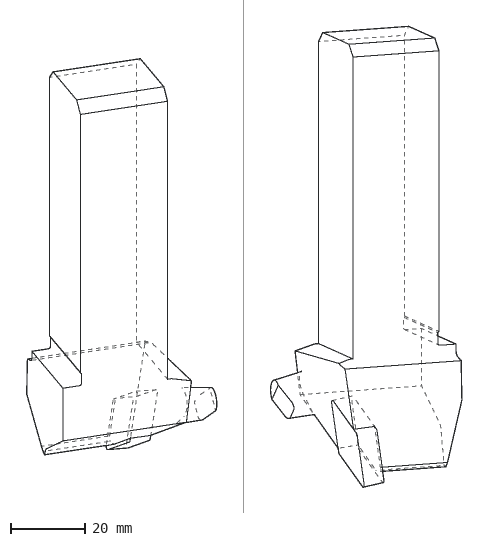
import cadquery as cq
import math

shank_size = 25.0
shank_top = 120.0
shank_end_chamfer = 3.0
shoulder_slope = math.radians(15)
shoulder_fillet = 1.5
shoulder_start_z = 34.4
back_land_z = 34.15
back_land_width = 1.1
profile_margin = 1.0
cut_margin = 40.0

flank_angle = math.radians(3)
flank_top_x = -3.65
heel_z = 20.5
sole_slope = math.radians(31.8)
sole_z = 3.6
corner_z = 4.9
corner_run = 0.6

head_front_y = -5.0
front_ledge_z = 36.2
relief_depth = 0.3
relief_top_z = 40.0
relief_fillet = 0.6
head_back_y = 35.0

rake_angle_x = math.radians(6)
rake_angle_z = math.radians(7)
rake_point_y = 28.8

bevel_edge_z = 21.6
bevel_tilt = math.radians(17.2)

insert_edge = 15.5
insert_thickness = 6.1
insert_angle = math.radians(55)
insert_nose_radius = 0.8
insert_reach_x = -7.0

boss_diameter = 8.0
boss_x = 19.6
boss_z = 24.1
boss_length = 8.3
boss_corner_radius = 2.4
boss_taper = 4.0
boss_root_fillet = 1.0
boss_top_y = 40.22
boss_stock = 14.0
boss_top_slope = math.radians(21)

fillet_run = shoulder_fillet * (1 - math.sin(shoulder_slope))
fillet_end_z = shoulder_start_z - shoulder_fillet * math.cos(shoulder_slope)
flank_top_z = fillet_end_z - (-flank_top_x - fillet_run) * math.tan(shoulder_slope)


def flank_x(z):
    return flank_top_x - (flank_top_z - z) * math.tan(flank_angle)


def rake_y(x, z):
    rise_x = (x - flank_top_x) * math.tan(rake_angle_x)
    rise_z = (z - flank_top_z) * math.tan(rake_angle_z)
    return rake_point_y + rise_x + rise_z


rake_normal = cq.Vector(-math.tan(rake_angle_x), 1, -math.tan(rake_angle_z)).normalized()


def rake_frame(x, z, run_x, run_z):
    """Frame on the rake plane at (x, z) whose local X axis heads along (run_x, run_z)."""
    rise = run_x * math.tan(rake_angle_x) + run_z * math.tan(rake_angle_z)
    return cq.Plane((x, rake_y(x, z), z), (run_x, rise, run_z), rake_normal)


insert_nose_x = insert_reach_x + insert_nose_radius * math.cos(rake_angle_x)
insert_nose_z = insert_nose_radius * math.cos(rake_angle_z)


def side_profile():
    """Shank and head outline in X-Z, run through the whole depth."""
    sole_start_x = shank_size - (heel_z - sole_z) / math.tan(sole_slope)
    corner_x = flank_x(corner_z)
    back_y = boss_top_y + profile_margin
    depth = back_y - head_front_y
    arc_mid_angle = (math.radians(90) + shoulder_slope) / 2
    arc_mid_x = -shoulder_fillet * (1 - math.sin(arc_mid_angle))
    arc_mid_z = shoulder_start_z - shoulder_fillet * math.cos(arc_mid_angle)
    return (
        cq.Workplane("XZ", origin=(0, back_y, 0))
        .moveTo(shank_size, heel_z)
        .lineTo(shank_size, shank_top - shank_end_chamfer)
        .lineTo(shank_size - shank_end_chamfer, shank_top)
        .lineTo(shank_end_chamfer, shank_top)
        .lineTo(0, shank_top - shank_end_chamfer)
        .lineTo(0, shoulder_start_z)
        .threePointArc((arc_mid_x, arc_mid_z), (-fillet_run, fillet_end_z))
        .lineTo(flank_top_x, flank_top_z)
        .lineTo(corner_x, corner_z)
        .lineTo(corner_x + corner_run, sole_z)
        .lineTo(sole_start_x, sole_z)
        .close()
        .extrude(depth)
    )


def depth_profile():
    """Shank and head outline in Y-Z, run through the whole width."""
    land_end_y = shank_size + back_land_width
    back_drop = (head_back_y - land_end_y) * math.tan(shoulder_slope)
    relief_mid = relief_fillet * (1 - math.sqrt(0.5))
    ledge_y = relief_depth - relief_fillet
    return (
        cq.Workplane("YZ", origin=(-cut_margin, 0, 0))
        .moveTo(head_front_y, 0)
        .lineTo(head_front_y, front_ledge_z)
        .lineTo(ledge_y, front_ledge_z)
        .threePointArc(
            (relief_depth - relief_mid, front_ledge_z + relief_mid),
            (relief_depth, front_ledge_z + relief_fillet),
        )
        .lineTo(relief_depth, relief_top_z - relief_depth)
        .lineTo(0, relief_top_z)
        .lineTo(0, shank_top)
        .lineTo(shank_size, shank_top)
        .lineTo(shank_size, back_land_z)
        .lineTo(land_end_y, back_land_z)
        .lineTo(head_back_y, back_land_z - back_drop)
        .lineTo(head_back_y, 0)
        .close()
        .extrude(shank_size + 2 * cut_margin)
    )


def half_space(frame):
    """Block standing on the outer side of a cutting plane."""
    return cq.Workplane(frame).rect(2 * cut_margin, 2 * cut_margin).extrude(cut_margin)


def rake_cut():
    """Everything behind the rake plane, which also clears the back of the shank."""
    return half_space(rake_frame(0, 0, 1, 0))


def front_bevel():
    """Everything outside the sloping plane across the front lower corner."""
    edge = (flank_x(bevel_edge_z), head_front_y, bevel_edge_z)
    along_edge = (math.cos(sole_slope), 0, -math.sin(sole_slope))
    outward = (
        -math.sin(sole_slope) * math.sin(bevel_tilt),
        -math.cos(bevel_tilt),
        -math.cos(sole_slope) * math.sin(bevel_tilt),
    )
    return half_space(cq.Plane(edge, along_edge, outward))


def clamp_boss():
    """Tapered boss, round at its upper end, standing square to the rake plane."""
    radius = boss_diameter / 2
    corner = boss_corner_radius
    blunt_x = -boss_length
    corner_bulge = corner * (1 - math.sqrt(0.5))
    return (
        cq.Workplane(rake_frame(boss_x, boss_z, 1, 1))
        .moveTo(0, -radius)
        .threePointArc((radius, 0), (0, radius))
        .lineTo(blunt_x + corner, radius)
        .threePointArc((blunt_x + corner_bulge, radius - corner_bulge), (blunt_x, radius - corner))
        .lineTo(blunt_x, corner - radius)
        .threePointArc((blunt_x + corner_bulge, corner_bulge - radius), (blunt_x + corner, -radius))
        .close()
        .extrude(boss_stock, taper=boss_taper)
    )


def boss_top_cut():
    """Space above the boss: level over the round end, falling toward the blunt end."""
    rise = boss_top_y - rake_y(boss_x, boss_z)
    break_x = boss_x - rise * math.tan(rake_angle_x)
    break_z = boss_z - rise * math.tan(rake_angle_z)
    frame = cq.Plane((break_x, boss_top_y, break_z), (1, 0, 1), (-1, 0, 1))
    reach = boss_stock
    return (
        cq.Workplane(frame)
        .moveTo(0, 0)
        .lineTo(reach, 0)
        .lineTo(reach, reach)
        .lineTo(-reach, reach)
        .lineTo(-reach, -reach * math.tan(boss_top_slope))
        .close()
        .extrude(reach, both=True)
    )


def boss_root_edges(body):
    """Concave edges where the boss leaves the rake plane."""
    foot_length = 2 * (boss_length + boss_corner_radius)
    foot_width = 2 * boss_diameter
    foot_height = boss_root_fillet / 10
    foot = cq.Workplane(rake_frame(boss_x, boss_z, 1, 1)).box(foot_length, foot_width, foot_height)
    return [edge for edge in body.edges().vals() if foot.val().isInside(edge.Center())]


def tool_holder(insert_body):
    """Shank, head and clamp boss in one solid, with a pocket that fits the insert."""
    stock = depth_profile().cut(rake_cut())
    stock = stock.union(clamp_boss().cut(boss_top_cut()))
    stock = stock.newObject(boss_root_edges(stock)).fillet(boss_root_fillet)
    return stock.intersect(side_profile()).cut(front_bevel()).cut(insert_body)


def diamond_insert():
    """Rhombic prism flush with the rake plane; its nose arc is the lowest point."""
    frame = rake_frame(insert_nose_x, insert_nose_z, math.sin(flank_angle), math.cos(flank_angle))
    tip_x = -insert_nose_radius / math.tan(insert_angle / 2)
    tip_y = -insert_nose_radius
    side_x = insert_edge * math.cos(insert_angle)
    side_y = insert_edge * math.sin(insert_angle)
    return (
        cq.Workplane(frame)
        .moveTo(tip_x, tip_y)
        .lineTo(tip_x + insert_edge, tip_y)
        .lineTo(tip_x + insert_edge + side_x, tip_y + side_y)
        .lineTo(tip_x + side_x, tip_y + side_y)
        .close()
        .extrude(-insert_thickness)
        .edges(cq.selectors.ParallelDirSelector(rake_normal))
        .fillet(insert_nose_radius)
    )


insert = diamond_insert()
holder = tool_holder(insert)

result = cq.Compound.makeCompound([holder.solids().val(), insert.solids().val()])